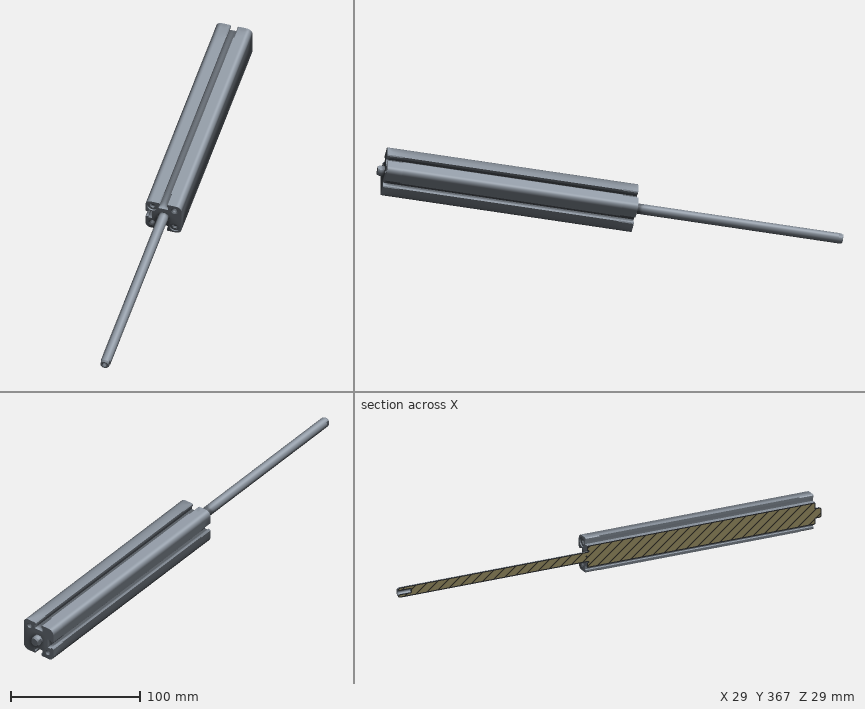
import cadquery as cq

total_length = 367.0
body_length = 197.8
cap_length = 12.0
rear_stub_length = 5.0

body_width = 29.0
body_corner_radius = 4.5

slot_angles = (0, 180, -90)
slot_mouth = 5.5
slot_inner_width = 7.7
slot_lip = 2.2
slot_lip_taper = 0.5
slot_depth = 5.5
cap_lip_chamfer = 0.7

rod_diameter = 8.0
rod_chamfer_length = 1.5
rod_chamfer_depth = 0.7
flat_spacing = 6.2
front_flat_length = 3.5
rear_flat_length = 4.0
rod_hole = 3.23
rod_countersink = 4.5
rod_countersink_depth = 0.7
rod_hole_depth = 11.0

gland_diameter = 9.5
gland_depth = 1.0

corner_spacing = 18.0
mounting_hole = 4.0
mounting_countersink = 6.0
mounting_countersink_depth = 0.9
screw_recess = 8.0
screw_recess_depth = 1.0
screw_socket = 4.5
screw_socket_depth = 2.2

half_width = body_width / 2
corner_offset = corner_spacing / 2
rod_front = -total_length / 2
rod_rear = total_length / 2
body_rear = rod_rear - rear_stub_length
body_front = body_rear - body_length
tube_front = body_front + cap_length
tube_rear = body_rear - cap_length


def section(y, x=0, z=0):
    """Workplane across the part at y with local axes X and -Z, centred on (x, z), facing +Y."""
    plane = cq.Plane(origin=(x, y, z), xDir=(1, 0, 0), normal=(0, 1, 0))
    return cq.Workplane(plane)


def cylinder(diameter, y, length, x=0, z=0):
    return section(y, x, z).circle(diameter / 2).extrude(length)


def cone(start_diameter, end_diameter, y, length, x=0, z=0):
    """Truncated cone starting at y; a negative length runs towards -Y."""
    start = section(y, x, z).circle(start_diameter / 2)
    return start.workplane(offset=length).circle(end_diameter / 2).loft()


def t_slot(y, length, lip_chamfer):
    """T-slot cutter for the top side, its mouth widened by lip_chamfer."""
    half_mouth = slot_mouth / 2
    half_inner = slot_inner_width / 2
    lip_bottom = half_width - slot_lip
    right_side = [
        (half_mouth + lip_chamfer, half_width),
        (half_mouth, half_width - lip_chamfer),
        (half_mouth, lip_bottom),
        (half_inner, lip_bottom - slot_lip_taper),
        (half_inner, half_width - slot_depth),
    ]
    if lip_chamfer == 0:
        right_side.pop(0)
    left_side = [(-x, z) for x, z in reversed(right_side)]
    outline = [(x, -z) for x, z in right_side + left_side]
    return section(y).polyline(outline).close().extrude(length)


def body_section(y, length, lip_chamfer=0):
    """Slotted square bar with the two mounting holes running through it."""
    bar = section(y).rect(body_width, body_width).extrude(length)
    bar = bar.edges("|Y").fillet(body_corner_radius)
    slot = t_slot(y, length, lip_chamfer)
    for angle in slot_angles:
        bar = bar.cut(slot.rotate((0, 0, 0), (0, 1, 0), angle))
    for offset in (-corner_offset, corner_offset):
        bar = bar.cut(cylinder(mounting_hole, y, length, offset, offset))
    return bar


def front_cap():
    cap = body_section(body_front, cap_length, cap_lip_chamfer)
    cap = cap.cut(cylinder(gland_diameter, body_front, gland_depth))
    socket_depth = screw_recess_depth + screw_socket_depth
    for offset in (-corner_offset, corner_offset):
        entry = cone(
            mounting_countersink, mounting_hole, body_front, mounting_countersink_depth, offset, offset
        )
        cap = cap.cut(entry)
        cap = cap.cut(cylinder(screw_recess, body_front, screw_recess_depth, offset, -offset))
        socket = section(body_front, offset, -offset).polygon(6, screw_socket).extrude(socket_depth)
        cap = cap.cut(socket)
    return cap


def rod_flats(y, length):
    """Cutter that leaves a band flat_spacing wide in X between two wrench flats."""
    blank = section(y).rect(body_width, body_width).extrude(length)
    band = section(y).rect(flat_spacing, body_width).extrude(length)
    return blank.cut(band)


def piston_rod():
    rod = cylinder(rod_diameter, rod_front, total_length)
    for end, inward in ((rod_front, 1), (rod_rear, -1)):
        end_diameter = rod_diameter - 2 * rod_chamfer_depth
        chamfer_run = inward * rod_chamfer_length
        blank = cylinder(body_width, end, chamfer_run)
        tapered_end = cone(end_diameter, rod_diameter, end, chamfer_run)
        rod = rod.cut(blank.cut(tapered_end))
    rod = rod.cut(rod_flats(rod_front, front_flat_length))
    rod = rod.cut(rod_flats(rod_rear - rear_flat_length, rear_flat_length))
    rod = rod.cut(cylinder(rod_hole, rod_front, rod_hole_depth))
    return rod.cut(cone(rod_countersink, rod_hole, rod_front, rod_countersink_depth))


tube = body_section(tube_front, tube_rear - tube_front)
rear_cap = body_section(tube_rear, cap_length, cap_lip_chamfer)

result = front_cap().union(tube, clean=False).union(rear_cap, clean=False)
result = result.union(piston_rod(), clean=False)